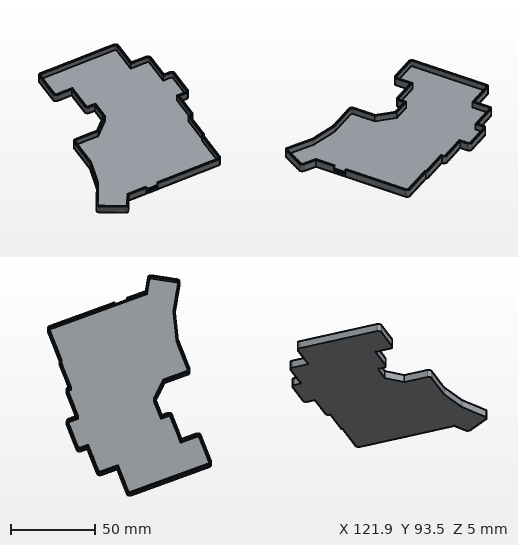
import cadquery as cq
import math

tray_height = 5.0
floor_thickness = 1.0
wall_thickness = 1.0
corner_radius = 2.0

left_x = 0
right_x = 113.8
column_1_top = 75.5
column_2_left, column_2_top = 18.0, 87.6
column_3_left, column_3_top = 36.1, 93.7
column_4_left, column_4_top = 56.2, 86.9
column_5_left, column_5_top = 74.4, 84.4
column_5_round_start, column_6_top = 90.8, 83.7
column_1_right, column_1_bottom = 20.9, 22.1
column_2_right, column_2_bottom = 38.8, 33.5
slant_left, slant_top = 49.4, 39.3
body_left, slant_bottom = 58.0, 30.3
body_bottom = 13.7

arm_angle = 30
first_bend_angle = 15
first_bend_x = 79.3
second_bend_x = 96.3
arm_root_y = 21.1
arm_upper_length = 10.2

notch_low_y, notch_high_y = 33.2, 40.9
notch_sill_z = 2.7
notch_sill_thickness = 0.5


def arm_corners():
    """Return the second bend and the two corners of the arm's square end."""
    cosine = math.cos(math.radians(arm_angle))
    sine = math.sin(math.radians(arm_angle))
    bend_drop = (second_bend_x - first_bend_x) * math.tan(math.radians(first_bend_angle))
    bend = (second_bend_x, body_bottom - bend_drop)
    upper = (right_x + arm_upper_length * cosine, arm_root_y - arm_upper_length * sine)
    lower_length = (upper[0] - bend[0]) * cosine - (upper[1] - bend[1]) * sine
    lower = (bend[0] + lower_length * cosine, bend[1] - lower_length * sine)
    return bend, upper, lower


bend, arm_upper, arm_lower = arm_corners()

rounded_corners = [
    (left_x, column_1_bottom),
    (left_x, column_1_top),
    (column_2_left, column_2_top),
    (column_3_left, column_3_top),
    (column_4_left, column_3_top),
    (column_5_left, column_4_top),
    (right_x, column_6_top),
    arm_upper,
    arm_lower,
    (body_left, body_bottom),
    (column_2_right, column_2_bottom),
    (column_1_right, column_1_bottom),
]


def tray_outline():
    """Sketch the sharp outline clockwise, with columns 5 and 6 still at one height."""
    return (
        cq.Workplane("XY")
        .moveTo(left_x, column_1_bottom)
        .lineTo(left_x, column_1_top)
        .lineTo(column_2_left, column_1_top)
        .lineTo(column_2_left, column_2_top)
        .lineTo(column_3_left, column_2_top)
        .lineTo(column_3_left, column_3_top)
        .lineTo(column_4_left, column_3_top)
        .lineTo(column_4_left, column_4_top)
        .lineTo(column_5_left, column_4_top)
        .lineTo(column_5_left, column_5_top)
        .lineTo(right_x, column_5_top)
        .lineTo(right_x, arm_root_y)
        .lineTo(*arm_upper)
        .lineTo(*arm_lower)
        .lineTo(*bend)
        .lineTo(first_bend_x, body_bottom)
        .lineTo(body_left, body_bottom)
        .lineTo(body_left, slant_bottom)
        .lineTo(slant_left, slant_top)
        .lineTo(column_2_right, slant_top)
        .lineTo(column_2_right, column_2_bottom)
        .lineTo(column_1_right, column_2_bottom)
        .lineTo(column_1_right, column_1_bottom)
        .close()
    )


def column_6_step(inset):
    """Build the cutter that lowers column 6, leaving the rounded end of column 5."""
    strip_width = column_5_top - column_6_top + inset
    strip = (
        cq.Workplane("XY")
        .box(right_x - column_5_round_start, strip_width, tray_height, centered=False)
        .translate((column_5_round_start, column_6_top - inset, 0))
    )
    rounded_end = (
        cq.Workplane("XY")
        .center(column_5_round_start, column_5_top - corner_radius)
        .circle(corner_radius - inset)
        .extrude(tray_height)
    )
    return strip.cut(rounded_end)


def rounded_block(inset=0):
    """Extrude the outline, moved inward by the inset, and round its outward corners."""
    outline = tray_outline()
    if inset:
        outline = outline.offset2D(-inset, "intersection")
    block = outline.extrude(tray_height).cut(column_6_step(inset))
    for x, y in rounded_corners:
        corner_edge = cq.selectors.NearestToPointSelector((x, y, tray_height / 2))
        block = block.edges("|Z").edges(corner_edge).fillet(corner_radius - inset)
    return block


def wall_notch():
    """Build the cutter for the right wall: an opening over a sill thinned from outside."""
    notch_length = notch_high_y - notch_low_y
    wall_inside_x = right_x - wall_thickness
    opening = (
        cq.Workplane("XY")
        .box(wall_thickness, notch_length, tray_height, centered=False)
        .translate((wall_inside_x, notch_low_y, notch_sill_z))
    )
    outside_recess = (
        cq.Workplane("XY")
        .box(wall_thickness - notch_sill_thickness, notch_length, tray_height, centered=False)
        .translate((wall_inside_x + notch_sill_thickness, notch_low_y, floor_thickness))
    )
    return opening.union(outside_recess)


cavity = rounded_block(wall_thickness).translate((0, 0, floor_thickness))
result = rounded_block().cut(cavity).cut(wall_notch())